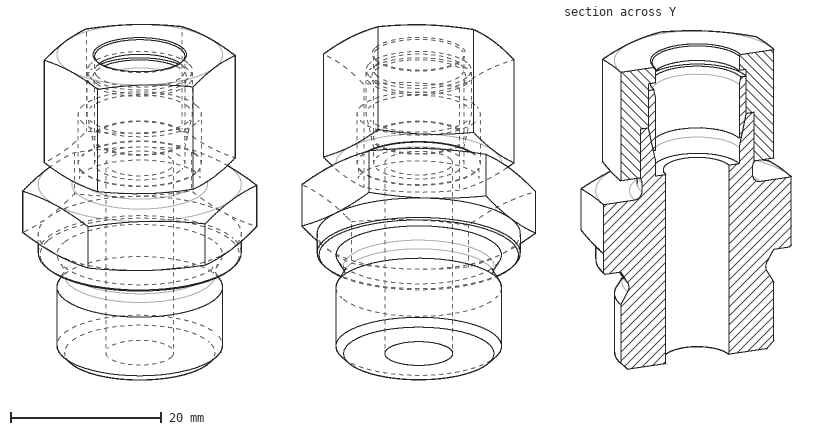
import cadquery as cq
import math

overall_length = 42.5

tube_diameter = 12.0
bore_diameter = 9.0
coupling_diameter = 16.35
ring_diameter = 14.0
taper_angle = 12.0
hex_chamfer_angle = 15.0

stud_diameter = 22.0
stud_chamfer = 1.0
stud_top = 9.4
undercut_angle = 30.0
undercut_flank = 1.7
undercut_radius = 1.25

flange_diameter = 27.0
flange_bottom = 14.0
flange_chamfer = 0.25
hex_flats = flange_diameter
hex_bottom = 17.0
hex_top = 24.0

neck_diameter = 16.0
neck_root_diameter = 18.0
neck_length = 1.28
coupling_top = 34.0
socket_depth = 7.0

nut_flats = 22.0
nut_bottom = 27.0
nut_bore_chamfer = 0.2
nut_lip_thickness = 2.3

ring_top = 39.3
ring_bottom = 30.6
ring_entry_diameter = 12.45
ring_entry_depth = 1.05


def tangent(angle):
    return math.tan(math.radians(angle))


def revolve(profile):
    """Turn a closed (radius, Z) profile around the Z axis."""
    return profile.close().revolve(360, (0, 0, 0), (0, 1, 0))


def turned(points):
    """Turn a polygon of (radius, Z) points around the Z axis."""
    return revolve(cq.Workplane("XZ").polyline(points))


def chamfered_hexagon(flats, bottom, top):
    """Hexagon with corners on +Y and -Y, chamfered conically at both ends."""
    corner_diameter = flats / math.cos(math.pi / 6)
    prism = (
        cq.Workplane("XY", origin=(0, 0, bottom))
        .transformed(rotate=(0, 0, 90))
        .polygon(6, corner_diameter)
        .extrude(top - bottom)
    )
    middle = (bottom + top) / 2
    end_radius = flats / 2
    middle_radius = end_radius + (middle - bottom) / tangent(hex_chamfer_angle)
    barrel = turned([
        (0, bottom),
        (end_radius, bottom),
        (middle_radius, middle),
        (end_radius, top),
        (0, top),
    ])
    return prism.intersect(barrel)


def make_stud():
    """Stud with end chamfer, rounded undercut and round flange."""
    stud_radius = stud_diameter / 2
    flange_radius = flange_diameter / 2
    arc_bottom = stud_top + undercut_flank
    arc_height = 2 * undercut_radius * math.sin(math.radians(undercut_angle))
    arc_top = arc_bottom + arc_height
    arc_depth = undercut_radius * (1 - math.cos(math.radians(undercut_angle)))
    arc_end_radius = stud_radius - undercut_flank * tangent(undercut_angle)
    upper_flank = flange_bottom - arc_top
    upper_radius = arc_end_radius + upper_flank * tangent(undercut_angle)
    return revolve(
        cq.Workplane("XZ")
        .moveTo(0, 0)
        .lineTo(stud_radius - stud_chamfer, 0)
        .lineTo(stud_radius, stud_chamfer)
        .lineTo(stud_radius, stud_top)
        .lineTo(arc_end_radius, arc_bottom)
        .threePointArc(
            (arc_end_radius - arc_depth, arc_bottom + arc_height / 2),
            (arc_end_radius, arc_top),
        )
        .lineTo(upper_radius, flange_bottom)
        .lineTo(flange_radius - flange_chamfer, flange_bottom)
        .lineTo(flange_radius, flange_bottom + flange_chamfer)
        .lineTo(flange_radius, hex_bottom)
        .lineTo(0, hex_bottom)
    )


def make_coupling_end():
    """Neck above the hexagon, filleted to the hexagon and to the coupling diameter."""
    neck_radius = neck_diameter / 2
    root_radius = neck_root_diameter / 2
    coupling_radius = coupling_diameter / 2
    fillet = root_radius - neck_radius
    neck_bottom = hex_top + fillet
    neck_top = neck_bottom + neck_length
    upper_fillet_height = math.sqrt(fillet**2 - (root_radius - coupling_radius) ** 2)
    coupling_bottom = neck_top + upper_fillet_height
    return revolve(
        cq.Workplane("XZ")
        .moveTo(0, hex_top)
        .lineTo(root_radius, hex_top)
        .radiusArc((neck_radius, neck_bottom), fillet)
        .lineTo(neck_radius, neck_top)
        .radiusArc((coupling_radius, coupling_bottom), fillet)
        .lineTo(coupling_radius, coupling_top)
        .lineTo(0, coupling_top)
    )


def make_body_cavity():
    """Through bore, tube socket and tapered seat of the ring."""
    mouth_radius = ring_diameter / 2
    tube_radius = tube_diameter / 2
    socket_bottom = coupling_top - socket_depth
    taper_bottom = coupling_top - (mouth_radius - tube_radius) / tangent(taper_angle)
    return turned([
        (0, 0),
        (bore_diameter / 2, 0),
        (bore_diameter / 2, socket_bottom),
        (tube_radius, socket_bottom),
        (tube_radius, taper_bottom),
        (mouth_radius, coupling_top),
        (0, coupling_top),
    ])


def make_body():
    hexagon = chamfered_hexagon(hex_flats, hex_bottom, hex_top)
    outside = make_stud().union(hexagon).union(make_coupling_end())
    return outside.cut(make_body_cavity())


def make_nut():
    """Union nut: coupling bore, ring recess and chamfered tube bore."""
    bore_radius = tube_diameter / 2
    recess_top = overall_length - nut_lip_thickness
    cavity = turned([
        (0, nut_bottom),
        (coupling_diameter / 2, nut_bottom),
        (coupling_diameter / 2, coupling_top),
        (ring_diameter / 2, coupling_top),
        (ring_diameter / 2, recess_top),
        (bore_radius, recess_top),
        (bore_radius, overall_length - nut_bore_chamfer),
        (bore_radius + nut_bore_chamfer, overall_length),
        (0, overall_length),
    ])
    return chamfered_hexagon(nut_flats, nut_bottom, overall_length).cut(cavity)


def make_cutting_ring():
    """Sleeve with a tapered entry on top and a tapered nose in the body seat."""
    inner_radius = tube_diameter / 2
    outer_radius = ring_diameter / 2
    nose_radius = outer_radius - (coupling_top - ring_bottom) * tangent(taper_angle)
    return turned([
        (inner_radius, ring_bottom),
        (nose_radius, ring_bottom),
        (outer_radius, coupling_top),
        (outer_radius, ring_top),
        (ring_entry_diameter / 2, ring_top),
        (inner_radius, ring_top - ring_entry_depth),
    ])


body = make_body()
nut = make_nut()
cutting_ring = make_cutting_ring()

result = cq.Compound.makeCompound([body.val(), nut.val(), cutting_ring.val()])